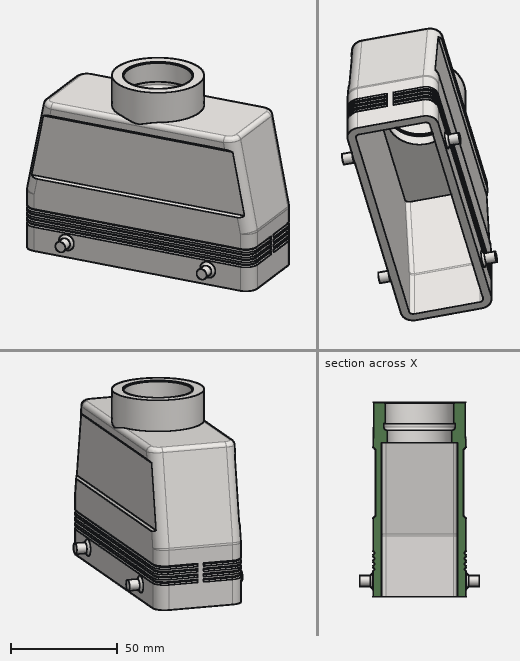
import cadquery as cq
import math

BODY_LENGTH = 120.0
BODY_WIDTH = 43.5
BODY_HEIGHT = 76.0
SHOULDER_HEIGHT = 29.5
ROOF_LENGTH = 101.5
CORNER_RADIUS = 6.0
SHOULDER_RADIUS = 5.0
ROOF_EDGE_RADIUS = 2.5
WALL = 4.0

TOTAL_HEIGHT = 91.0
COLLAR_DIAMETER = 43.2
BORE_DIAMETER = 32.0
BORE_DEPTH = 10.0
MOUTH_CHAMFER = 0.5
ENTRY_DIAMETER = 30.0
RELIEF_DIAMETER = 33.2
RELIEF_HEIGHT = 3.0

RECESS_BOTTOM = 36.8
RECESS_TOP = 70.0
RECESS_DEPTH = 1.1

GROOVE_COUNT = 4
GROOVE_PITCH = 2.55
GROOVE_WIDTH = 1.5
GROOVE_DEPTH = 0.75
GROOVE_LOWEST = 12.9
GROOVE_GAP = 3.0

PIN_SPAN = 56.0
PIN_DIAMETER = 5.2
PIN_X = 37.0
PIN_Z = 7.5
PIN_BASE_DIAMETER = 8.0
PIN_BASE_HEIGHT = 1.3


def side_outline(inset, height):
    """Side outline of the hood, moved inward by inset and cut off at height."""
    lean = math.atan2((BODY_LENGTH - ROOF_LENGTH) / 2, BODY_HEIGHT - SHOULDER_HEIGHT)
    shoulder_x = BODY_LENGTH / 2 - inset
    shoulder_z = SHOULDER_HEIGHT - inset * math.tan(lean / 2)
    top_x = shoulder_x - (height - shoulder_z) * math.tan(lean)
    return [
        (-shoulder_x, 0),
        (shoulder_x, 0),
        (shoulder_x, shoulder_z),
        (top_x, height),
        (-top_x, height),
        (-shoulder_x, shoulder_z),
    ]


def hood_block(inset):
    """Solid hood shape with rounded corners, shrunk by inset on every wall."""
    width = BODY_WIDTH - 2 * inset
    block = (
        cq.Workplane("XZ")
        .polyline(side_outline(inset, BODY_HEIGHT - inset))
        .close()
        .extrude(width / 2, both=True)
    )
    shoulder_zone = cq.selectors.BoxSelector(
        (-BODY_LENGTH, -BODY_WIDTH, SHOULDER_HEIGHT - WALL),
        (BODY_LENGTH, BODY_WIDTH, SHOULDER_HEIGHT + WALL),
    )
    block = block.edges("|Y").edges(shoulder_zone).fillet(SHOULDER_RADIUS)
    side_edges = block.faces("<Y or >Y").edges("not |X")
    return side_edges.fillet(CORNER_RADIUS - inset)


def side_recesses(body):
    """Cut a full-length recess with 45 degree edges into both long walls."""
    wall_y = BODY_WIDTH / 2
    floor_y = wall_y - RECESS_DEPTH
    outline = [
        (wall_y, RECESS_BOTTOM),
        (wall_y, RECESS_TOP),
        (floor_y, RECESS_TOP - RECESS_DEPTH),
        (floor_y, RECESS_BOTTOM + RECESS_DEPTH),
    ]
    recess = cq.Workplane("YZ").polyline(outline).close().extrude(BODY_LENGTH / 2, both=True)
    return body.cut(recess).cut(recess.mirror("XZ"))


def grip_groove(z):
    """V-groove running around the skirt, interrupted at the middle of the end walls."""
    half_width = GROOVE_WIDTH / 2
    path = (
        cq.Workplane("XY", origin=(0, 0, z))
        .rect(BODY_LENGTH, BODY_WIDTH)
        .extrude(GROOVE_WIDTH)
        .edges("|Z")
        .fillet(CORNER_RADIUS)
        .faces("<Z")
        .wires()
    )
    outline = [
        (BODY_WIDTH / 2, z - half_width),
        (BODY_WIDTH / 2, z + half_width),
        (BODY_WIDTH / 2 - GROOVE_DEPTH, z),
    ]
    groove = cq.Workplane("YZ").polyline(outline).close().sweep(path)
    gap = cq.Workplane("XY", origin=(0, 0, z)).box(2 * BODY_LENGTH, GROOVE_GAP, 2 * GROOVE_WIDTH)
    return groove.cut(gap)


def locking_pin(x, side):
    """Pin with a conical base on one long wall; side is -1 or 1 along Y."""
    wall_y = BODY_WIDTH / 2
    root_y = wall_y - WALL / 2
    outline = [
        (0, root_y),
        (PIN_BASE_DIAMETER / 2, root_y),
        (PIN_BASE_DIAMETER / 2, wall_y),
        (PIN_DIAMETER / 2, wall_y + PIN_BASE_HEIGHT),
        (PIN_DIAMETER / 2, PIN_SPAN / 2),
        (0, PIN_SPAN / 2),
    ]
    pin = cq.Workplane("XY").polyline(outline).close().revolve(360, (0, 0, 0), (0, 1, 0))
    if side < 0:
        pin = pin.mirror("XZ")
    return pin.translate((x, 0, PIN_Z))


def cable_collar():
    """Round collar rising from the roof."""
    base_z = BODY_HEIGHT - ROOF_EDGE_RADIUS
    return (
        cq.Workplane("XY", origin=(0, 0, base_z))
        .circle(COLLAR_DIAMETER / 2)
        .extrude(TOTAL_HEIGHT - base_z)
    )


def cable_passage():
    """Chamfered bore, round-bottomed relief and entry hole down into the cavity."""
    bore_r = BORE_DIAMETER / 2
    entry_r = ENTRY_DIAMETER / 2
    bore_floor = TOTAL_HEIGHT - BORE_DEPTH
    relief_r = RELIEF_DIAMETER / 2
    relief_floor = bore_floor - RELIEF_HEIGHT
    seat_r = relief_r - entry_r
    seat_middle = (
        entry_r + seat_r * math.sin(math.pi / 4),
        relief_floor + seat_r * (1 - math.cos(math.pi / 4)),
    )
    half_section = (
        cq.Workplane("XZ")
        .moveTo(0, SHOULDER_HEIGHT)
        .lineTo(entry_r, SHOULDER_HEIGHT)
        .lineTo(entry_r, relief_floor)
        .threePointArc(seat_middle, (relief_r, relief_floor + seat_r))
        .lineTo(relief_r, bore_floor)
        .lineTo(bore_r, bore_floor)
        .lineTo(bore_r, TOTAL_HEIGHT - MOUTH_CHAMFER)
        .lineTo(bore_r + MOUTH_CHAMFER, TOTAL_HEIGHT)
        .lineTo(0, TOTAL_HEIGHT)
        .close()
    )
    return half_section.revolve(360, (0, 0, 0), (0, 1, 0))


body = hood_block(0).faces(">Z").edges().fillet(ROOF_EDGE_RADIUS)
body = side_recesses(body)

for index in range(GROOVE_COUNT):
    body = body.cut(grip_groove(GROOVE_LOWEST + index * GROOVE_PITCH))

for pin_x in (-PIN_X, PIN_X):
    for pin_side in (-1, 1):
        body = body.union(locking_pin(pin_x, pin_side))

result = body.union(cable_collar()).cut(hood_block(WALL)).cut(cable_passage())